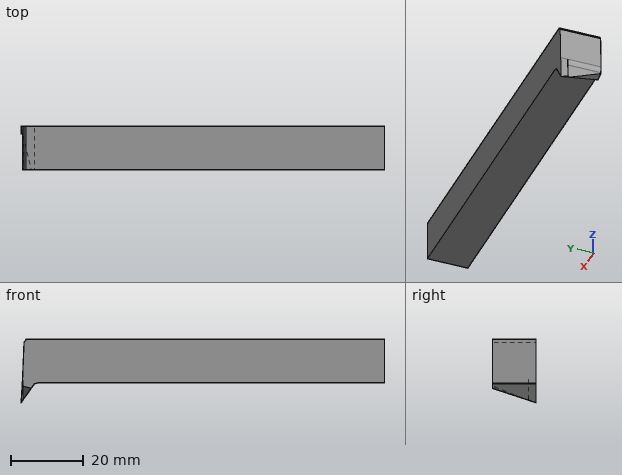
import cadquery as cq

length = 100.0
width = 12.0
shank_height = 12.0
left = -length / 2
back = width / 2
front = -width / 2

nose_drop = 5.5
tip_z = -nose_drop
nose_root_x = left + 3.7
nose_root_z = -0.3
blend_end_x = left + 4.8

chamfer_top_x = left + 1.4
chamfer_bottom_x = left + 0.8
chamfer_height = 0.9
land_top_x = left + 0.4
land_top_z = 1.2

land_width = 2.1
relief_x = left + 0.6
relief_blend_z = -0.6
relief_blend_middle_x = left + 0.55
relief_blend_middle_z = (land_top_z + relief_blend_z) / 2

underside_rise = 4.8
underside_fall_per_x = 0.3
cutter_reach = 10.0
cutter_depth = 20.0


def make_body():
    """Extrude the side outline of shank and nose across the full width."""
    return (
        cq.Workplane("XZ", origin=(0, back, 0))
        .moveTo(left, tip_z)
        .lineTo(nose_root_x, nose_root_z)
        .lineTo(blend_end_x, 0)
        .lineTo(length / 2, 0)
        .lineTo(length / 2, shank_height)
        .lineTo(chamfer_top_x, shank_height)
        .lineTo(chamfer_bottom_x, shank_height - chamfer_height)
        .lineTo(land_top_x, land_top_z)
        .close()
        .extrude(width)
    )


def make_relief_cutter():
    """Material removed from the end face in front of the land."""
    return (
        cq.Workplane("XZ", origin=(0, back - land_width, 0))
        .moveTo(land_top_x, land_top_z)
        .threePointArc((relief_blend_middle_x, relief_blend_middle_z), (relief_x, relief_blend_z))
        .lineTo(relief_x, -cutter_depth)
        .lineTo(left - cutter_reach, -cutter_depth)
        .lineTo(left - cutter_reach, land_top_z)
        .close()
        .extrude(width - land_width)
    )


def underside_section(y, z_at_left):
    """Section, at one Y, of the material below the sloping underside."""
    slope_change = underside_fall_per_x * cutter_reach
    return cq.Wire.makePolygon(
        [
            cq.Vector(left - cutter_reach, y, z_at_left + slope_change),
            cq.Vector(left + cutter_reach, y, z_at_left - slope_change),
            cq.Vector(left + cutter_reach, y, -cutter_depth),
            cq.Vector(left - cutter_reach, y, -cutter_depth),
        ],
        close=True,
    )


def make_underside_cutter():
    """Wedge below the plane that rises from the tip to the front face."""
    return cq.Solid.makeLoft(
        [
            underside_section(back, tip_z),
            underside_section(front, tip_z + underside_rise),
        ],
        True,
    )


result = make_body().cut(make_relief_cutter()).cut(cq.Workplane(obj=make_underside_cutter()))